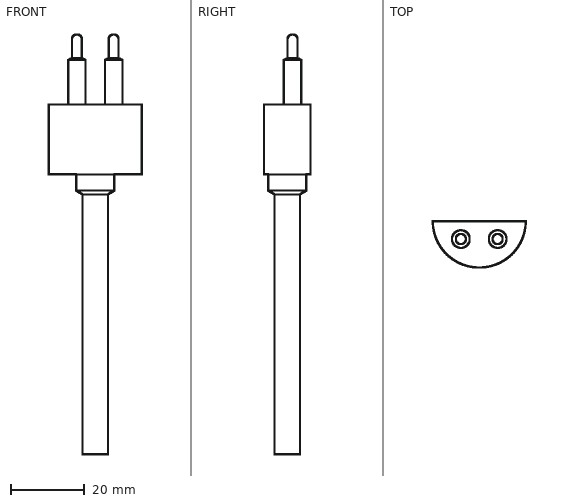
import cadquery as cq

body_radius = 12.7
body_height = 19.05

collar_diameter = 10.41
collar_height = 5.45
collar_taper_height = 1.0
cable_diameter = 6.99
overall_length = 114.3

pin_spacing = 10.0
pin_y = -4.9
pin_diameter = 4.83
pin_length = 19.05
tip_diameter = 2.78
tip_length = 6.5
shoulder_height = 0.5
dome_height = 1.15

cable_y = -body_radius / 2
cable_length = overall_length - pin_length - body_height


def make_body():
    """Half disc with its flat side facing +Y."""
    return (
        cq.Workplane("XY", origin=(0, 0, -body_height))
        .moveTo(-body_radius, 0)
        .threePointArc((0, -body_radius), (body_radius, 0))
        .close()
        .extrude(body_height)
    )


def make_cable():
    """Round cable with a collar that tapers down to the cable at its lower end."""
    collar_radius = collar_diameter / 2
    cable_radius = cable_diameter / 2
    taper_start = collar_height - collar_taper_height
    profile = (
        cq.Workplane("XZ")
        .lineTo(collar_radius, 0)
        .lineTo(collar_radius, -taper_start)
        .lineTo(cable_radius, -collar_height)
        .lineTo(cable_radius, -cable_length)
        .lineTo(0, -cable_length)
        .close()
    )
    return profile.revolve(360, (0, 0, 0), (0, 1, 0)).translate((0, cable_y, -body_height))


def make_pin(x):
    """Stepped pin with a conical shoulder and a domed tip, turned about its own axis."""
    pin_radius = pin_diameter / 2
    tip_radius = tip_diameter / 2
    shoulder_top = pin_length - tip_length
    dome_base = pin_length - dome_height
    dome_radius = (tip_radius**2 + dome_height**2) / (2 * dome_height)
    mid_height = dome_height / 2
    mid_radius = (dome_radius**2 - (dome_radius - mid_height) ** 2) ** 0.5
    profile = (
        cq.Workplane("XZ")
        .lineTo(pin_radius, 0)
        .lineTo(pin_radius, shoulder_top - shoulder_height)
        .lineTo(tip_radius, shoulder_top)
        .lineTo(tip_radius, dome_base)
        .threePointArc((mid_radius, pin_length - mid_height), (0, pin_length))
        .close()
    )
    return profile.revolve(360, (0, 0, 0), (0, 1, 0)).translate((x, pin_y, 0))


result = make_body().union(make_cable())
for pin_x in (-pin_spacing / 2, pin_spacing / 2):
    result = result.union(make_pin(pin_x))